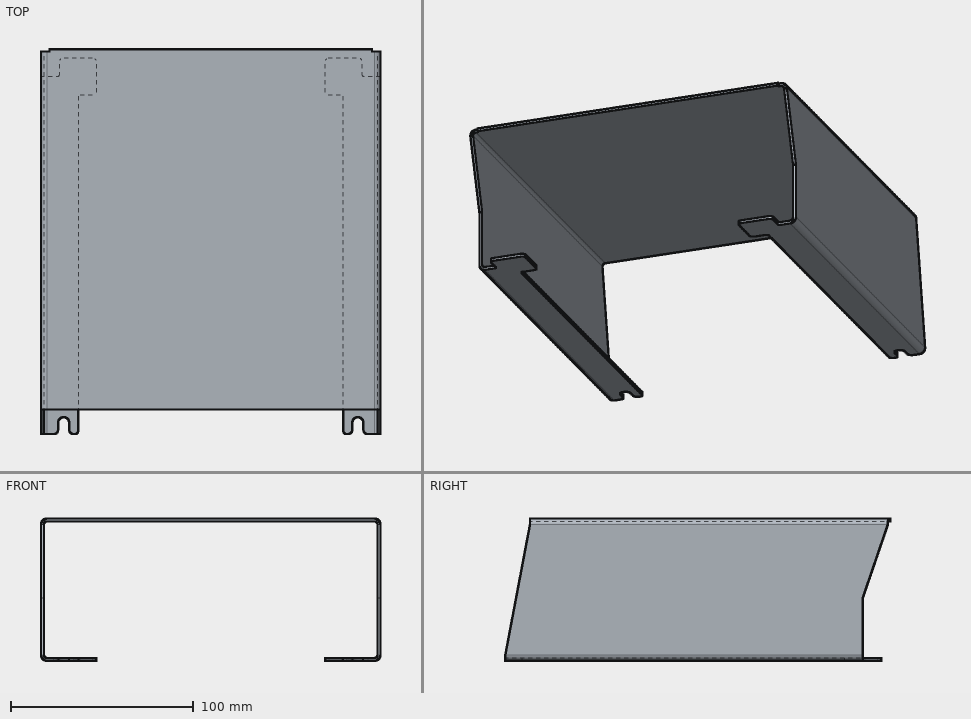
import cadquery as cq

width = 186.0
length = 211.0
height = 78.0
sheet = 1.7
bend_radius = 3.4
half_width = width / 2

top_front_y = 13.5
top_bend_rear_y = 209.7
wall_rear_y = 196.0
wall_kink_z = 34.5
top_corner_inset = 4.6

flange_width = 20.5
flange_corner_radius = 2.0
slot_offset = 12.5
slot_width = 6.0
slot_depth = 9.3
slot_mouth_radius = 2.5

tab_width = 30.4
tab_rear_y = 206.1
tab_length = 20.3
tab_inset = 10.1
tab_corner_radius = 2.1


def box_between(x_range, y_range, z_range):
    """Box spanning the given (low, high) ranges."""
    sizes = [high - low for low, high in (x_range, y_range, z_range)]
    corner = (x_range[0], y_range[0], z_range[0])
    return cq.Workplane("XY").box(*sizes, centered=False).translate(corner)


def folded_shell():
    """Top and two walls, with folds, cut to the sloping side profile."""
    outer = box_between((-half_width, half_width), (0, length), (0, height))
    outer = outer.edges("|Y").fillet(bend_radius)
    inner_half = half_width - sheet
    inner = box_between((-inner_half, inner_half), (0, length), (sheet, height - sheet))
    inner = inner.edges("|Y").fillet(bend_radius - sheet)
    opening_half = half_width - flange_width
    opening = box_between((-opening_half, opening_half), (0, length), (0, sheet))

    side_profile = [
        (0, 0),
        (0, bend_radius),
        (top_front_y, height - bend_radius),
        (top_front_y, height),
        (top_bend_rear_y, height),
        (top_bend_rear_y, height - bend_radius),
        (wall_rear_y, wall_kink_z),
        (wall_rear_y, 0),
    ]
    silhouette = cq.Workplane("YZ").polyline(side_profile).close().extrude(half_width, both=True)
    return outer.cut(inner).cut(opening).intersect(silhouette)


def rear_lip():
    """Short strip extending the top to its full length between the folds."""
    lip_half = half_width - top_corner_inset
    return box_between((-lip_half, lip_half), (wall_rear_y, length), (height - sheet, height))


def mounting_slot():
    """Open slot in the front of the left flange, with a round end and a flared mouth."""
    center_x = slot_offset - half_width
    half_slot = slot_width / 2
    left = center_x - half_slot
    right = center_x + half_slot
    straight_end = slot_depth - half_slot
    return (
        cq.Workplane("XY")
        .moveTo(left - slot_mouth_radius, 0)
        .radiusArc((left, slot_mouth_radius), -slot_mouth_radius)
        .lineTo(left, straight_end)
        .threePointArc((center_x, slot_depth), (right, straight_end))
        .lineTo(right, slot_mouth_radius)
        .radiusArc((right + slot_mouth_radius, 0), -slot_mouth_radius)
        .close()
        .extrude(sheet)
    )


def rear_tab():
    """Wider end of the left flange, reaching behind the wall."""
    x_range = (tab_inset - half_width, tab_width - half_width)
    tab = box_between(x_range, (tab_rear_y - tab_length, tab_rear_y), (0, sheet))
    return tab.edges("|Z and (>X or >Y)").fillet(tab_corner_radius)


def mirrored_pair(left_feature):
    """A left-hand feature together with its right-hand mirror image."""
    return left_feature.union(left_feature.mirror("YZ"))


cover = folded_shell().union(rear_lip())

flange_edge = half_width - flange_width
for side in (-1, 1):
    front_corner = cq.selectors.NearestToPointSelector((side * flange_edge, 0, sheet / 2))
    cover = cover.edges("|Z").edges(front_corner).fillet(flange_corner_radius)

cover = cover.cut(mirrored_pair(mounting_slot())).union(mirrored_pair(rear_tab()))

tab_joints = [
    (flange_edge, tab_rear_y - tab_length),
    (half_width - tab_inset, wall_rear_y),
]
for joint_x, joint_y in tab_joints:
    for side in (-1, 1):
        joint = cq.selectors.NearestToPointSelector((side * joint_x, joint_y, sheet / 2))
        cover = cover.edges("|Z").edges(joint).fillet(tab_corner_radius / 2)

result = cover